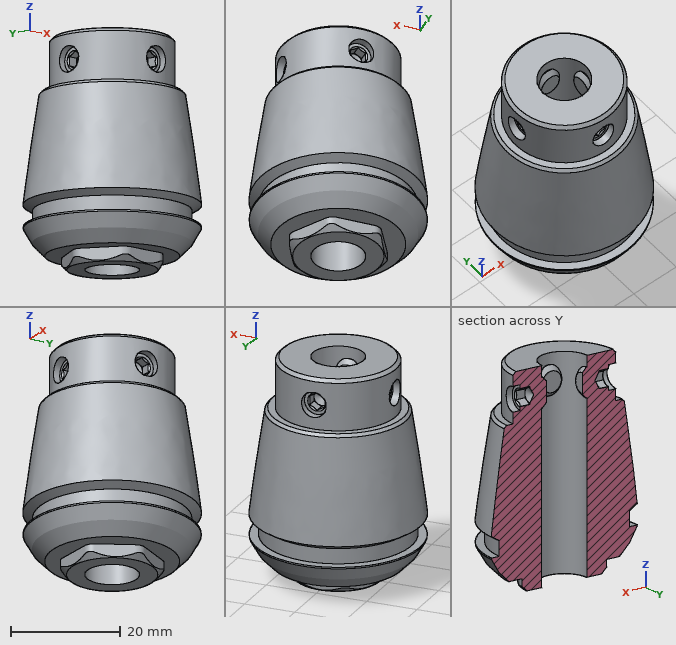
import cadquery as cq
import math

total_height = 43.0
bore_diameter = 10.0

collar_radius = 23.0 / 2
collar_bottom = 33.0
collar_chamfer = 0.65

barrel_top_radius = 13.45
barrel_chamfer = 0.55
barrel_bottom_radius = 32.72 / 2
barrel_bottom = 12.1
barrel_bulge = 0.1

groove_radius = 29.2 / 2
groove_top = 11.0
groove_bottom = 8.0

flange_radius = 32.6 / 2
flange_rim = 0.3
flange_knee_radius = 14.65
flange_knee_height = 4.9
flange_bottom_radius = 12.35

hex_height = 2.6
hex_across_flats = 17.0
hex_corner_radius = 2.0
hex_end_radius = 8.35

screw_count = 4
screw_diameter = 6.0
screw_hole_diameter = 4.9
screw_height = 37.7
screw_face_distance = 9.9
screw_tip_distance = 3.95
screw_tip_diameter = 4.2
socket_across_flats = 2.95
socket_depth = 2.15
socket_mouth_diameter = 3.6
socket_cone_angle = 120.0


def across_corners(across_flats):
    return across_flats / math.cos(math.radians(30))


def make_turned_body():
    barrel_shoulder = collar_bottom - barrel_chamfer
    barrel_middle = (
        (barrel_top_radius + barrel_bottom_radius) / 2 + barrel_bulge,
        (barrel_shoulder + barrel_bottom) / 2,
    )
    return (
        cq.Workplane("XZ")
        .moveTo(0, hex_height)
        .lineTo(flange_bottom_radius, hex_height)
        .lineTo(flange_knee_radius, flange_knee_height)
        .lineTo(flange_radius, groove_bottom - flange_rim)
        .lineTo(flange_radius, groove_bottom)
        .lineTo(groove_radius, groove_bottom)
        .lineTo(groove_radius, groove_top)
        .lineTo(barrel_bottom_radius, barrel_bottom)
        .threePointArc(barrel_middle, (barrel_top_radius, barrel_shoulder))
        .lineTo(barrel_top_radius - barrel_chamfer, collar_bottom)
        .lineTo(collar_radius, collar_bottom)
        .lineTo(collar_radius, total_height - collar_chamfer)
        .lineTo(collar_radius - collar_chamfer, total_height)
        .lineTo(0, total_height)
        .close()
        .revolve(360, (0, 0, 0), (0, 1, 0))
    )


def make_hexagon():
    prism = (
        cq.Workplane("XY")
        .polygon(6, across_corners(hex_across_flats))
        .extrude(hex_height)
        .edges("|Z")
        .fillet(hex_corner_radius)
    )
    cone = (
        cq.Workplane("XZ")
        .lineTo(hex_end_radius, 0)
        .lineTo(hex_end_radius + hex_height, hex_height)
        .lineTo(0, hex_height)
        .close()
        .revolve(360, (0, 0, 0), (0, 1, 0))
    )
    return prism.intersect(cone)


def screw_plane(distance):
    """Plane facing -Y on the screw axis, at a distance from the Z axis."""
    return cq.Workplane("XZ", origin=(0, -distance, screw_height))


def turned_about_screw_axis(points):
    """Solid of revolution from (distance from Z axis, radius) points."""
    return (
        cq.Workplane("YZ", origin=(0, 0, screw_height))
        .polyline([(-distance, radius) for distance, radius in points])
        .close()
        .revolve(360, (0, 0, 0), (1, 0, 0))
    )


def make_screw_tip():
    """End of the screw that stands out into the bore, with a 45 degree taper."""
    screw_radius = screw_diameter / 2
    tip_radius = screw_tip_diameter / 2
    taper_length = screw_radius - tip_radius
    root_distance = bore_diameter / 2
    return turned_about_screw_axis(
        [
            (screw_tip_distance, 0),
            (screw_tip_distance, tip_radius),
            (screw_tip_distance + taper_length, screw_radius),
            (root_distance, screw_radius),
            (root_distance, 0),
        ]
    )


def make_screw_recess():
    """Open hole outside the screw, with the hexagon socket in the screw face."""
    hole = screw_plane(screw_face_distance).circle(screw_hole_diameter / 2).extrude(collar_radius)
    socket_floor = screw_face_distance - socket_depth
    socket = (
        screw_plane(socket_floor)
        .transformed(rotate=(0, 0, 90))
        .polygon(6, across_corners(socket_across_flats))
        .extrude(socket_depth)
    )
    mouth_radius = socket_mouth_diameter / 2
    mouth = turned_about_screw_axis(
        [
            (screw_face_distance, 0),
            (screw_face_distance, mouth_radius),
            (screw_face_distance - mouth_radius, 0),
        ]
    )
    floor_radius = socket_across_flats / 2
    cone_depth = floor_radius / math.tan(math.radians(socket_cone_angle / 2))
    floor_cone = turned_about_screw_axis(
        [
            (socket_floor, 0),
            (socket_floor, floor_radius),
            (socket_floor - cone_depth, 0),
        ]
    )
    return hole.union(socket).union(mouth).union(floor_cone)


bore = cq.Workplane("XY").circle(bore_diameter / 2).extrude(total_height)
result = make_turned_body().union(make_hexagon()).cut(bore)

screw_tip = make_screw_tip()
screw_recess = make_screw_recess()
for index in range(screw_count):
    angle = index * 360 / screw_count
    result = result.union(screw_tip.rotate((0, 0, 0), (0, 0, 1), angle))
    result = result.cut(screw_recess.rotate((0, 0, 0), (0, 0, 1), angle))